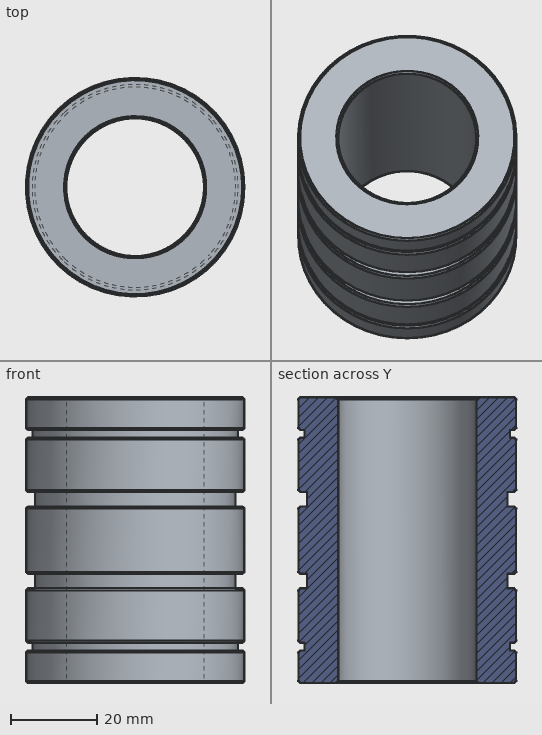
import cadquery as cq

length = 66.5
outer_radius = 25.4
bore_radius = 16.0
edge_chamfer = 0.5

narrow_groove_radius = 23.9
narrow_groove_width = 1.7
narrow_groove_offset = 24.7
wide_groove_radius = 23.35
wide_groove_width = 3.3
wide_groove_offset = 9.5


def make_groove(floor_radius, width, center_z):
    """Ring-shaped cutter whose mouth widens by a chamfer on both edges."""
    half_width = width / 2
    chamfer_start = outer_radius - edge_chamfer
    half_mouth = half_width + edge_chamfer
    return (
        cq.Workplane("XZ")
        .moveTo(floor_radius, center_z - half_width)
        .lineTo(chamfer_start, center_z - half_width)
        .lineTo(outer_radius, center_z - half_mouth)
        .lineTo(outer_radius, center_z + half_mouth)
        .lineTo(chamfer_start, center_z + half_width)
        .lineTo(floor_radius, center_z + half_width)
        .close()
        .revolve(360, (0, 0, 0), (0, 1, 0))
    )


def make_sleeve():
    """Bored cylinder with chamfered rims and four outer grooves."""
    sleeve = (
        cq.Workplane("XY")
        .circle(outer_radius)
        .circle(bore_radius)
        .extrude(length / 2, both=True)
        .faces("<Z or >Z")
        .edges()
        .chamfer(edge_chamfer)
    )
    for side in (-1, 1):
        narrow_groove = make_groove(
            narrow_groove_radius, narrow_groove_width, side * narrow_groove_offset
        )
        wide_groove = make_groove(
            wide_groove_radius, wide_groove_width, side * wide_groove_offset
        )
        sleeve = sleeve.cut(narrow_groove).cut(wide_groove)
    return sleeve


sleeve = make_sleeve()

result = cq.Compound.makeCompound([sleeve.val()])